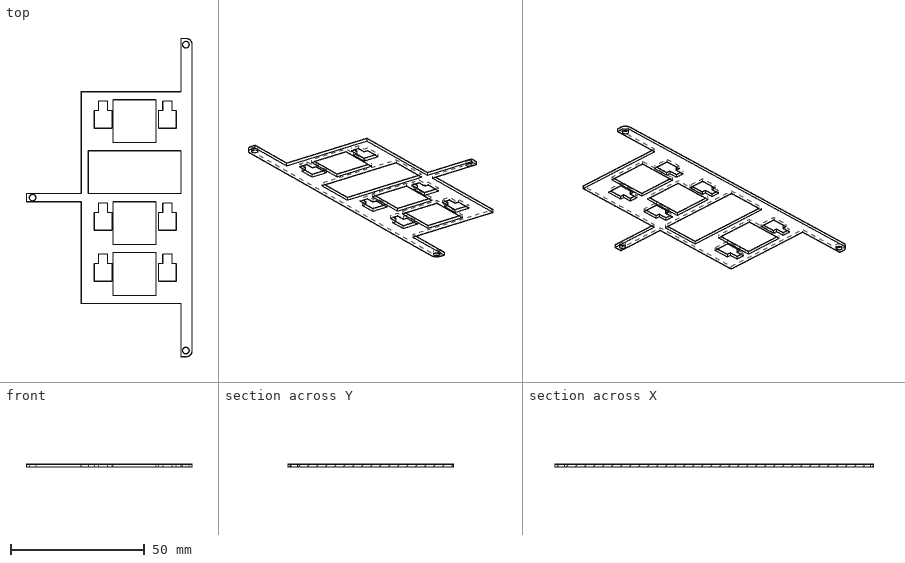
import cadquery as cq

total_width = 62.0
total_length = 119.1
thickness = 1.2

rail_width = 4.3
rail_corner_radius = 2.4
panel_left = 20.5
rib_width = 3.1
arm_width = 3.2

window_size = 16.0
row_count = 4
row_pitch = window_size + rib_width
panel_length = row_count * row_pitch + rib_width
wide_row = 1
wide_window_width = 34.5
rail_left = total_width - rail_width
window_center_x = rail_left - wide_window_width / 2

slot_spacing = 24.0
slot_center_x = 40.7
slot_width = 6.5
slot_neck_width = 3.3
slot_bottom = -2.6
slot_shoulder = 3.9
slot_top = 7.5

hole_diameter = 2.4
hole_inset = 2.4


def box_between(x_min, x_max, y_min, y_max):
    """Full-thickness block spanning the given X and Y limits."""
    return (
        cq.Workplane("XY")
        .box(x_max - x_min, y_max - y_min, thickness, centered=False)
        .translate((x_min, y_min, 0))
    )


def window(width, center_y):
    """Cutter for a window in the given row."""
    half_width = width / 2
    half_height = window_size / 2
    return box_between(
        window_center_x - half_width,
        window_center_x + half_width,
        center_y - half_height,
        center_y + half_height,
    )


def stepped_slot(center_x, row_y):
    """Cutter for a wide slot with a narrow neck above it."""
    half_width = slot_width / 2
    half_neck = slot_neck_width / 2
    body = box_between(
        center_x - half_width, center_x + half_width, row_y + slot_bottom, row_y + slot_shoulder
    )
    neck = box_between(
        center_x - half_neck, center_x + half_neck, row_y + slot_shoulder, row_y + slot_top
    )
    return body.union(neck)


rail = box_between(rail_left, total_width, -total_length / 2, total_length / 2)
rail = rail.edges("|Z and >X").fillet(rail_corner_radius)
panel = box_between(panel_left, rail_left, -panel_length / 2, panel_length / 2)
arm = box_between(0, panel_left, -arm_width / 2, arm_width / 2)
plate = rail.union(panel).union(arm)

for row in range(row_count):
    row_y = ((row_count - 1) / 2 - row) * row_pitch
    if row == wide_row:
        plate = plate.cut(window(wide_window_width, row_y))
    else:
        plate = plate.cut(window(window_size, row_y))
        for side in (-1, 1):
            slot_x = slot_center_x + side * slot_spacing / 2
            plate = plate.cut(stepped_slot(slot_x, row_y))

rail_hole_x = total_width - hole_inset
rail_hole_y = total_length / 2 - hole_inset
hole_centers = [(rail_hole_x, rail_hole_y), (rail_hole_x, -rail_hole_y), (hole_inset, 0)]
holes = (
    cq.Workplane("XY")
    .pushPoints(hole_centers)
    .circle(hole_diameter / 2)
    .extrude(thickness)
)

result = plate.cut(holes)